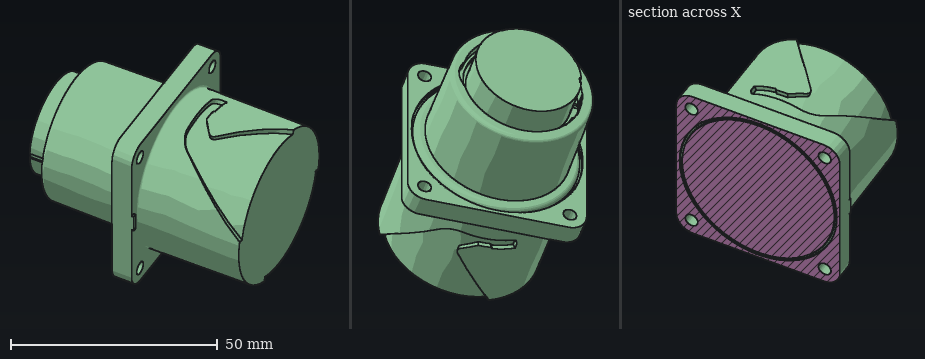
import cadquery as cq
import math

total_length = 61.4
shell_start = 5.45
collar_start = 27.15
flange_start = 27.7
flange_end = 33.1

flange_side = 45.0
flange_corner_radius = 4.6
hole_pitch = 36.55
hole_diameter = 3.3
seal_groove_outer_radius = 21.55
seal_groove_depth = 0.9

shell_rim_radius = 18.05
shell_root_radius = 18.3
collar_face_radius = 19.5
collar_round = 1.5
coupling_start_radius = 20.55
coupling_end_radius = 20.4
rim_round = 1.05
root_fillet = 0.55

plug_radius = 13.25
pocket_radius = 15.05
pocket_depth = 2.35
step_radius = 14.25
step_depth = 1.35
step_gap_angle = 44.0
lobe_radius = 6.15
lobe_reach = 15.9
keyway_width = 1.4
keyway_inner = 12.85
keyway_outer = 15.1
keyway_extra_depth = 0.6

tab_inner = 21.5
tab_width = 4.6
tab_thickness = 0.55

slot_depth = 1.2
unroll_radius = 20.45
slot_back = 39.1
slot_dead_end = -8.9
latch_x = 42.3
latch_end = -2.9
land_x = 41.9
land_start = -2.45
land_end = 0.75
tooth_tip = (45.4, 5.5)
tooth_mouth_arc = -7.6
lead_corner_arc = 8.6
lead_mouth_arc = 27.8
dead_end_round = 1.85
tooth_round = 1.2
lead_round = 7.35
slot_count = 2
points_per_leg = 7
inner_plane = 9.8
outer_plane = 22.1

half_side = flange_side / 2


def disc(radius, start, end):
    """Cylinder about X between two stations."""
    return cq.Workplane("YZ").workplane(offset=start).circle(radius).extrude(end - start)


def bar(start, end, y_min, y_max, width):
    """Box centred on Z."""
    return cq.Workplane("XY").box(end - start, y_max - y_min, width).translate(
        ((start + end) / 2, (y_min + y_max) / 2, 0)
    )


def shells():
    """Rear shell, collar and coupling shell as one turned body."""
    profile = (
        cq.Workplane("XY")
        .moveTo(shell_start, 0)
        .lineTo(shell_start, shell_rim_radius - rim_round)
        .radiusArc((shell_start + rim_round, shell_rim_radius), rim_round)
        .lineTo(collar_start, shell_root_radius)
        .lineTo(collar_start, collar_face_radius)
        .radiusArc((collar_start + collar_round, collar_face_radius + collar_round), collar_round)
        .lineTo(flange_end, collar_face_radius + collar_round)
        .lineTo(flange_end, coupling_start_radius + root_fillet)
        .radiusArc((flange_end + root_fillet, coupling_start_radius), -root_fillet)
        .lineTo(total_length, coupling_end_radius)
        .lineTo(total_length, 0)
        .close()
    )
    return profile.revolve(360, (0, 0, 0), (1, 0, 0))


def flange():
    """Square plate with four corner holes and a groove around the collar."""
    plate = (
        cq.Workplane("YZ")
        .workplane(offset=flange_start)
        .rect(flange_side, flange_side)
        .extrude(flange_end - flange_start)
        .edges("|X")
        .fillet(flange_corner_radius)
    )
    holes = (
        cq.Workplane("YZ")
        .workplane(offset=flange_start)
        .rect(hole_pitch, hole_pitch, forConstruction=True)
        .vertices()
        .circle(hole_diameter / 2)
        .extrude(flange_end - flange_start)
    )
    groove = disc(seal_groove_outer_radius, flange_start, flange_start + seal_groove_depth)
    return plate.cut(holes).cut(groove)


def pocket():
    """Stepped space between rear shell and plug, with a lobe on the +Y side."""
    pocket_floor = shell_start + pocket_depth
    step_floor = pocket_floor + step_depth
    lobe = disc(lobe_radius, shell_start, pocket_floor).translate((0, lobe_reach - lobe_radius, 0))
    gap_half_height = pocket_radius * math.tan(math.radians(step_gap_angle / 2))
    gap_sector = (
        cq.Workplane("YZ")
        .workplane(offset=pocket_floor)
        .polyline([(0, 0), (-pocket_radius, gap_half_height), (-pocket_radius, -gap_half_height)])
        .close()
        .extrude(step_depth)
    )
    step_gap = disc(pocket_radius, pocket_floor, step_floor).intersect(gap_sector)
    space = disc(pocket_radius, shell_start, pocket_floor).union(lobe)
    return space.union(disc(step_radius, pocket_floor, step_floor)).union(step_gap)


def plug():
    """Solid round plug reaching down to the floor of the step."""
    return disc(plug_radius, 0, shell_start + pocket_depth + step_depth)


def keyway():
    """Slot along the plug, running on into the pocket floor."""
    end = shell_start + pocket_depth + step_depth + keyway_extra_depth
    return bar(0, end, -keyway_outer, -keyway_inner, keyway_width)


def tab():
    """Small block behind the flange, flush with its -Y side."""
    return bar(flange_end, flange_end + tab_thickness, -half_side, -tab_inner, tab_width)


def straight_leg(start, end):
    """Evenly spaced points from start to end on the unrolled shell."""
    fractions = [i / (points_per_leg - 1) for i in range(points_per_leg)]
    return [(start[0] + (end[0] - start[0]) * f, start[1] + (end[1] - start[1]) * f) for f in fractions]


def round_leg(before, corner, after, radius):
    """Points of the arc that rounds a corner on the unrolled shell."""
    angle_in = math.atan2(before[1] - corner[1], before[0] - corner[0])
    angle_out = math.atan2(after[1] - corner[1], after[0] - corner[0])
    opening = math.remainder(angle_out - angle_in, 2 * math.pi)
    bisector = angle_in + opening / 2
    reach = radius / math.sin(abs(opening) / 2)
    centre_x = corner[0] + reach * math.cos(bisector)
    centre_arc = corner[1] + reach * math.sin(bisector)
    half_sweep = math.copysign(math.pi / 2 - abs(opening) / 2, opening)
    fractions = [i / (points_per_leg - 1) for i in range(points_per_leg)]
    turns = [bisector + math.pi + half_sweep * (1 - 2 * f) for f in fractions]
    return [(centre_x + radius * math.cos(t), centre_arc + radius * math.sin(t)) for t in turns]


def slot_legs():
    """Legs of the slot outline in order, each a list of points on the unrolled shell."""
    dead_corner = (slot_back, slot_dead_end)
    lead_corner = (slot_back, lead_corner_arc)
    latch_corner = (latch_x, slot_dead_end)
    tooth_root = (land_x, land_end)
    tooth_mouth = (total_length, tooth_mouth_arc)
    lead_mouth = (total_length, lead_mouth_arc)
    dead_end_arc = round_leg(lead_corner, dead_corner, latch_corner, dead_end_round)
    tooth_arc = round_leg(tooth_root, tooth_tip, tooth_mouth, tooth_round)
    lead_arc = round_leg(lead_mouth, lead_corner, dead_corner, lead_round)
    return [
        dead_end_arc,
        [dead_end_arc[-1], latch_corner],
        [latch_corner, (latch_x, latch_end)],
        [(latch_x, latch_end), (land_x, land_start)],
        [(land_x, land_start), tooth_root],
        straight_leg(tooth_root, tooth_arc[0]),
        tooth_arc,
        straight_leg(tooth_arc[-1], tooth_mouth),
        [tooth_mouth, lead_mouth],
        straight_leg(lead_mouth, lead_arc[0]),
        lead_arc,
        [lead_arc[-1], dead_end_arc[0]],
    ]


def slot_wire(height, middle_arc):
    """Slot outline projected from the X axis onto the plane at the given height."""
    edges = []
    for leg in slot_legs():
        points = [
            cq.Vector(x, -height * math.tan((arc - middle_arc) / unroll_radius), height)
            for x, arc in leg
        ]
        if len(points) == 2:
            edges.append(cq.Edge.makeLine(*points))
        else:
            edges.append(cq.Edge.makeSpline(points))
    return cq.Wire.assembleEdges(edges)


def slot_ring():
    """Ring of material, slot_depth thick, from which the slots are taken."""
    profile = [
        (flange_end, coupling_start_radius - slot_depth),
        (total_length, coupling_end_radius - slot_depth),
        (total_length, coupling_start_radius + slot_depth),
        (flange_end, coupling_start_radius + slot_depth),
    ]
    return cq.Workplane("XY").polyline(profile).close().revolve(360, (0, 0, 0), (1, 0, 0))


def bayonet_slot():
    """One slot with walls pointing at the X axis and a floor parallel to the shell."""
    middle_arc = (slot_dead_end + lead_mouth_arc) / 2
    wires = [slot_wire(height, middle_arc) for height in (inner_plane, outer_plane)]
    prism = cq.Workplane(cq.Solid.makeLoft(wires, True))
    middle_angle = math.degrees(middle_arc / unroll_radius)
    return prism.rotate((0, 0, 0), (1, 0, 0), middle_angle).intersect(slot_ring())


result = shells().union(flange()).cut(pocket()).union(plug()).cut(keyway()).union(tab())
slot = bayonet_slot()
for index in range(slot_count):
    result = result.cut(slot.rotate((0, 0, 0), (1, 0, 0), index * 360 / slot_count))